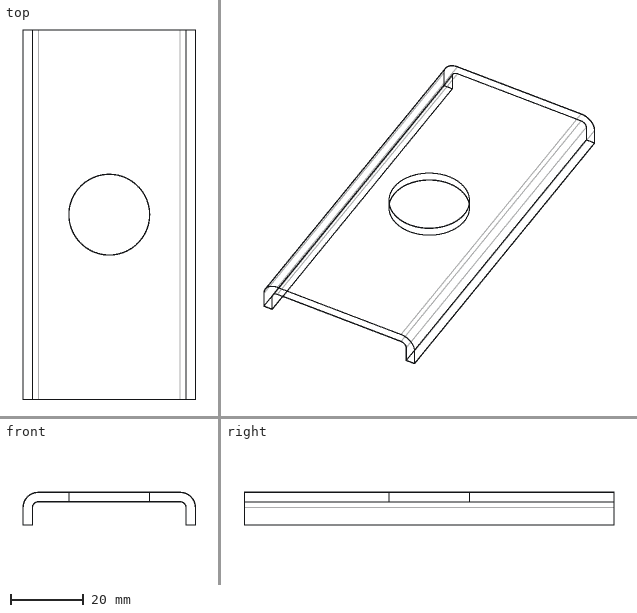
import cadquery as cq

length = 101.6
width = 47.4
height = 9.0
thickness = 2.6
outer_radius = 4.3
inner_radius = outer_radius - thickness
hole_diameter = 22.1


def rounded_bar(bar_width, bar_height, edge_radius):
    """Bar along Y standing on Z = 0, with its two long top edges rounded."""
    bar = cq.Workplane("XY").box(bar_width, length, bar_height, centered=(True, True, False))
    return bar.edges("|Y and >Z").fillet(edge_radius)


outer = rounded_bar(width, height, outer_radius)
inner = rounded_bar(width - 2 * thickness, height - thickness, inner_radius)
channel = outer.cut(inner)

hole = cq.Workplane("XY").circle(hole_diameter / 2).extrude(height)

result = channel.cut(hole)